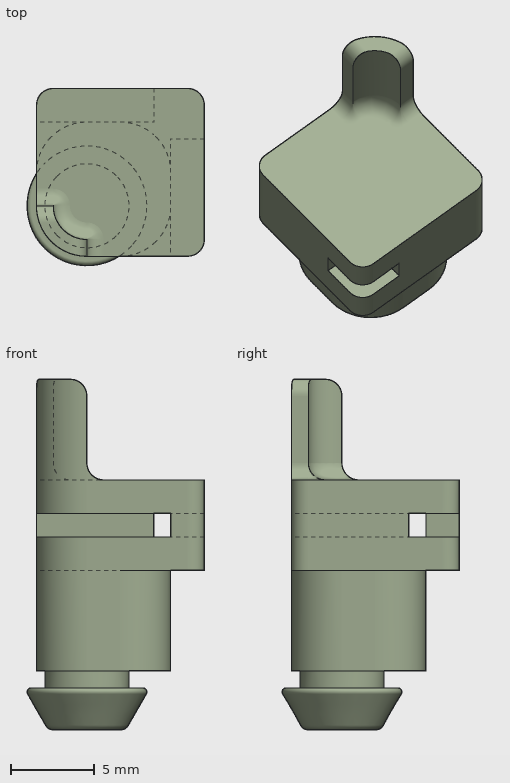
import cadquery as cq
import math

wall = 1.0
block_side = 10.01
overhang = 2.0
main_radius = 3.0
small_radius = 1.0
block_height = 5.4
body_height = 6.0
stem_height = 6.0
slot_height = 1.4
relief_inset = 1.0

neck_radius = 2.5
neck_height = 1.0
plug_radius = 3.57
plug_height = 2.5
plug_slope = math.radians(30)
rim_fillet = 0.25
tip_fillet = 0.5

body_side = block_side - overhang
stem_inner_radius = main_radius - wall
neck_base = plug_height
body_base = neck_base + neck_height
block_base = body_base + body_height
block_top = block_base + block_height
stem_top = block_top + stem_height
slot_base = block_base + (block_height - slot_height) / 2


def box_from_corner(side, height, start, base):
    """Square box whose lowest X and Y are both at start."""
    return cq.Workplane("XY").box(side, side, height, centered=False).translate((start, start, base))


def plug_and_neck():
    """Conical snap plug with rounded rim and tip, on a round neck."""
    rim_angle = math.pi / 2 - plug_slope
    rim_radius = plug_radius + rim_fillet * (1 / math.tan(rim_angle / 2) - 1)
    tip_radius = rim_radius - plug_height * math.tan(plug_slope)
    profile = [(0, 0), (tip_radius, 0), (rim_radius, plug_height), (0, plug_height)]
    plug = cq.Workplane("XZ").polyline(profile).close().revolve(360, (0, 0), (0, 1))
    plug = plug.faces(">Z").edges().fillet(rim_fillet)
    plug = plug.faces("<Z").edges().fillet(tip_fillet)
    neck = cq.Workplane("XY", origin=(0, 0, neck_base)).circle(neck_radius).extrude(neck_height)
    return plug.union(neck).translate((main_radius, main_radius, 0))


def body():
    """Square post with four large rounded corners."""
    return box_from_corner(body_side, body_height, 0, body_base).edges("|Z").fillet(main_radius)


def block():
    """Wider square block, its outer corner rounded like the body."""
    solid = box_from_corner(block_side, block_height, 0, block_base)
    solid = solid.edges("|Z and (>X or >Y or (<X and >Y))").fillet(small_radius)
    return solid.edges("|Z and <X and <Y").fillet(main_radius)


def mirrored_pair(solid):
    """Solid together with its copy across the X = Y diagonal plane."""
    return solid.union(solid.mirror(cq.Vector(1, -1, 0), (0, 0, 0)))


def stem_end_rounding():
    """Material to cut so that the stem end facing +Y rounds over at the top."""
    corner = cq.Workplane("YZ").moveTo(main_radius, stem_top)
    corner = corner.lineTo(main_radius, stem_top - small_radius)
    corner = corner.radiusArc((main_radius - small_radius, stem_top), -small_radius).close()
    return corner.extrude(main_radius)


def stem():
    """Upright quarter-ring wall following the rounded outer corner."""
    ring = (
        cq.Workplane("XY", origin=(main_radius, main_radius, block_top))
        .circle(main_radius)
        .circle(stem_inner_radius)
        .extrude(stem_height)
    )
    quarter = ring.intersect(box_from_corner(main_radius, stem_height, 0, block_top))
    return quarter.cut(mirrored_pair(stem_end_rounding()))


def cove_profile(plane, x):
    """Concave fillet section at the stem end, standing on the block top with its foot pointing outward."""
    return (
        cq.Workplane(plane, origin=(x, main_radius, block_top))
        .lineTo(small_radius, 0)
        .radiusArc((0, small_radius), small_radius)
        .close()
    )


def stem_flare():
    """Concave fillet along the foot of the stem: straight ends, turned corners and inner arc."""
    straight_end = cove_profile("YZ", 0).extrude(wall)
    turned_corner = cove_profile("XZ", wall).revolve(90, (0, 0), (0, 1))
    inner_arc = cove_profile("XZ", wall).revolve(90, (stem_inner_radius, 0), (stem_inner_radius, 1))
    return mirrored_pair(straight_end.union(turned_corner)).union(inner_arc)


def corner_slot():
    """Slot open on -X and -Y, with a relief notch through the far corner of the block."""
    slot = box_from_corner(body_side, slot_height, 0, slot_base)
    relief = box_from_corner(block_side, slot_height, body_side - relief_inset, slot_base)
    return slot.union(relief)


result = (
    plug_and_neck()
    .union(body())
    .union(block())
    .union(stem().union(stem_flare()))
    .cut(corner_slot())
)